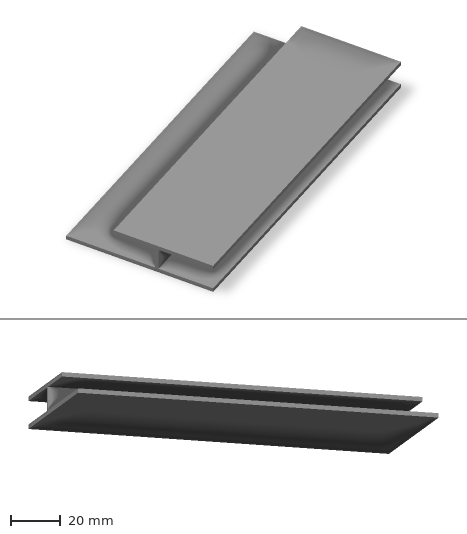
import cadquery as cq

length = 152.4
base_width = 68.5
height = 13.4

flange_thickness = 1.8
top_width = 46.3
web_thickness = 1.5
web_center_from_left = 42.2

top_left = base_width - top_width


def plate(left, bottom, width, thickness):
    """Full-length bar with its lower left edge at (left, bottom) in XZ."""
    return cq.Workplane("XY").box(width, length, thickness, centered=False).translate((left, 0, bottom))


base_flange = plate(0, 0, base_width, flange_thickness)
top_flange = plate(top_left, height - flange_thickness, top_width, flange_thickness)
web = plate(
    web_center_from_left - web_thickness / 2,
    flange_thickness,
    web_thickness,
    height - 2 * flange_thickness,
)

result = base_flange.union(web).union(top_flange)